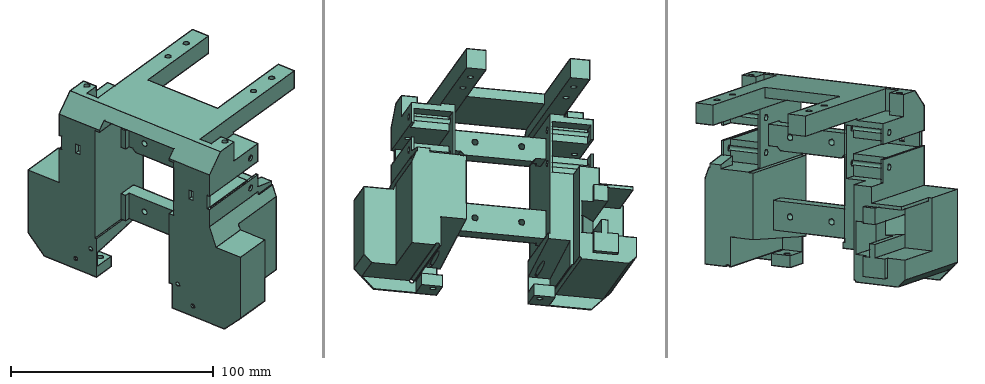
import cadquery as cq

width = 131.0
height = 96.0
arm_end_y = 90.0

column_outer_x = 19.1
column_inner_x = 41.3
foot_inner_x = 42.2
rail_inner_x = 44.0
column_back_y = 40.0
body_back_y = 51.2
body_top_z = 55.0
left_wing_top_z = 46.8
right_wing_top_z = 46.0
right_wing_back_y = 20.0
right_side_x = 114.8
right_slope_top_z = 56.6
right_slope_end_x = 116.0
right_step_z = 54.8
left_step_z = 22.7
right_step_low_z = 14.0
bottom_chamfer = 10.0
body_bottom_z = 6.0
front_plate = 1.0
left_block_inner_x = 29.2

pocket_front_y = 33.0
pocket_bottom_z = body_top_z
pocket_top_z = 81.9
skin = 1.2
notch_depth = 1.5
groove_floor_drop = 0.4
groove_low_z = 66.7
groove_high_z = 74.4
groove_front_y = 2.4
slot_x = 30.7
slot_width = 2.5
slot_low_z = 68.1
slot_high_z = 73.2

bridge_bottom_z = 90.8
arm_outer_x = 34.0
arm_bottom_z = 85.8
shelf_z = 84.9
shelf_front_y = 12.2
post_inner_x = 27.1
post_back_y = 20.2
top_chamfer = 9.0

bar_front_y = 24.4
bar_back_y = 31.7
bar_lug = 2.8
lower_bar_low_z = left_step_z
lower_bar_high_z = 37.6
upper_bar_low_z = 64.8
upper_bar_high_z = 75.7
tongue_drop = 1.8
tongue_x = 46.2

window_front_y = 25.0
window_low_z = 20.0
window_high_z = 45.0
window_depth = 15.5
window_lip = 1.8
hook_low_x = 10.0
hook_thin_x = 18.6
hook_inner_x = 22.4
hook_back_y = 53.8
gap_slant = 7.0
gap_low_z = 26.9
gap_high_z = 36.8

wedge_x = 105.6
wedge_front_z = 59.5
wedge_back_z = 57.0

hollow_outer_x = 31.0
ceiling_front_z = right_step_low_z
ceiling_back_z = 21.2
tab_outer_x = 31.5
tab_back_y = 12.3

hole_diameter = 3.0
pin_diameter = 2.2
arm_hole_x = 39.2
arm_hole_ys = (63.1, 78.1)
bar_hole_x = 53.6
bar_hole_zs = (30.3, 70.3)
side_hole_y = 33.9
side_hole_zs = (61.8, 79.4)
post_hole_x = 22.9
post_hole_y = 17.8
pin_centres = ((38.6, 15.3), (29.3, 6.0))
tab_hole_x = 38.3
tab_hole_y = 8.5


def box(x0, x1, y0, y1, z0, z1):
    """Block between two opposite corners."""
    return cq.Workplane("XY").box(x1 - x0, y1 - y0, z1 - z0, centered=False).translate((x0, y0, z0))


def prism_along_y(points, y0, y1):
    """Outline in x and z, extruded from y0 to y1."""
    return cq.Workplane("XZ", origin=(0, y0, 0)).polyline(points).close().extrude(y0 - y1)


def prism_along_x(points, x0, x1):
    """Outline in y and z, extruded from x0 to x1."""
    return cq.Workplane("YZ", origin=(x0, 0, 0)).polyline(points).close().extrude(x1 - x0)


def opposite(solid):
    """Mirror image on the other side of the mid-plane."""
    return solid.mirror("YZ", (width / 2, 0, 0))


def both_sides(solid):
    return solid.union(opposite(solid))


def hole_along_y(x, z, diameter):
    return cq.Workplane("XZ", origin=(x, 0, z)).circle(diameter / 2).extrude(-arm_end_y)


def hole_along_z(x, y, z0, z1):
    return cq.Workplane("XY", origin=(x, y, z0)).circle(hole_diameter / 2).extrude(z1 - z0)


def make_left_body():
    outline = [
        (0, bottom_chamfer), (bottom_chamfer, 0), (foot_inner_x, 0), (foot_inner_x, left_step_z),
        (column_inner_x, left_step_z), (column_inner_x, height), (column_outer_x, height),
        (column_outer_x, left_wing_top_z), (0, left_wing_top_z),
    ]
    body = prism_along_y(outline, 0, body_back_y)
    return body.cut(box(left_block_inner_x, foot_inner_x, column_back_y, body_back_y, 0, height))


def make_right_body():
    foot_x = width - foot_inner_x
    rail_x = width - rail_inner_x
    column_x = width - column_inner_x
    outer_x = width - column_outer_x
    outline = [
        (width, bottom_chamfer), (width - bottom_chamfer, 0), (foot_x, 0), (foot_x, right_step_low_z),
        (rail_x, right_step_low_z), (rail_x, right_step_z), (column_x, right_step_z), (column_x, height),
        (outer_x, height), (outer_x, right_slope_top_z), (right_slope_end_x, right_wing_top_z),
        (width, right_wing_top_z),
    ]
    body = prism_along_y(outline, 0, body_back_y)
    return body.cut(box(right_side_x, width, right_wing_back_y, body_back_y, 0, height))


def make_wedge():
    outline = [
        (column_back_y, body_top_z), (body_back_y, body_top_z),
        (body_back_y, wedge_back_z), (column_back_y, wedge_front_z),
    ]
    return prism_along_x(outline, wedge_x, width - column_outer_x)


def make_column_cuts():
    """Rear pocket, side groove and sight slot of the left column."""
    inner_x = column_inner_x - skin
    pocket = box(column_outer_x + skin, inner_x, pocket_front_y, column_back_y, pocket_bottom_z, pocket_top_z)
    groove = box(column_outer_x, inner_x, groove_front_y, column_back_y, groove_low_z, groove_high_z)
    floor_z = groove_low_z - groove_floor_drop
    sunk_floor = box(column_outer_x + skin, inner_x, groove_front_y, pocket_front_y, floor_z, groove_low_z)
    notch = box(column_outer_x, column_outer_x + notch_depth, 0, groove_front_y, groove_low_z, groove_high_z)
    slot = box(slot_x - slot_width / 2, slot_x + slot_width / 2, 0, body_back_y, slot_low_z, slot_high_z)
    return pocket.union(groove).union(sunk_floor).union(notch).union(slot)


def make_underside_cut():
    """Space behind the front plate, with a rising ceiling under the inner side."""
    below = box(0, foot_inner_x, front_plate, body_back_y, 0, body_bottom_z)
    ceiling = [
        (front_plate, 0), (body_back_y, 0), (body_back_y, ceiling_back_z), (front_plate, ceiling_front_z),
    ]
    return below.union(prism_along_x(ceiling, hollow_outer_x, rail_inner_x))


def make_window_cut():
    """Window in the left wing, with a deeper gap that opens into the rear cavity."""
    window = box(0, window_depth, window_front_y, body_back_y, window_low_z, window_high_z)
    lip = box(0, window_lip, window_front_y, body_back_y, window_high_z, left_wing_top_z)
    cavity_front_y = window_front_y + gap_slant
    cavity_x = left_block_inner_x - skin
    gap_outline = [
        (window_depth, window_front_y), (window_depth + gap_slant, cavity_front_y),
        (cavity_x, cavity_front_y), (cavity_x, body_back_y), (window_depth, body_back_y),
    ]
    gap = cq.Workplane("XY", origin=(0, 0, gap_low_z)).polyline(gap_outline).close()
    gap = gap.extrude(gap_high_z - gap_low_z)
    cavity = box(hook_thin_x, cavity_x, cavity_front_y, body_back_y, window_low_z, gap_low_z)
    return window.union(lip).union(gap).union(cavity)


def make_hooks():
    """Three hooks standing out behind the left wing."""
    base = box(hook_low_x, hook_inner_x, body_back_y, hook_back_y, bottom_chamfer, window_low_z)
    lower = box(window_depth, hook_thin_x, body_back_y, hook_back_y, window_low_z, gap_low_z)
    upper = box(window_depth, hook_inner_x, body_back_y, hook_back_y, gap_high_z, window_high_z)
    return base.union(lower).union(upper)


def make_bridge():
    plate = box(column_outer_x, width - column_outer_x, 0, column_back_y, bridge_bottom_z, height)
    arm = box(arm_outer_x, rail_inner_x, 0, arm_end_y, arm_bottom_z, height)
    return plate.union(both_sides(arm))


def make_shelf_cut():
    """Left shelf beside the arm, leaving a corner post at the front."""
    rear = box(column_outer_x, arm_outer_x, post_back_y, body_back_y, shelf_z, height)
    beside_post = box(post_inner_x, arm_outer_x, shelf_front_y, post_back_y, shelf_z, height)
    return rear.union(beside_post)


def make_bars():
    start_x = column_inner_x
    end_x = width - column_inner_x
    rail_x = width - rail_inner_x
    bars = box(start_x, rail_x, bar_front_y, bar_back_y, lower_bar_low_z, lower_bar_high_z)
    bars = bars.union(box(start_x, end_x, bar_front_y, bar_back_y, upper_bar_low_z, upper_bar_high_z))
    tongue = [
        (tongue_x, upper_bar_low_z), (tongue_x + tongue_drop, upper_bar_low_z - tongue_drop),
        (width - tongue_x - tongue_drop, upper_bar_low_z - tongue_drop), (width - tongue_x, upper_bar_low_z),
    ]
    bars = bars.union(prism_along_y(tongue, bar_front_y, bar_back_y))
    for low_z, high_z in ((lower_bar_low_z, lower_bar_high_z), (upper_bar_low_z, upper_bar_high_z)):
        bars = bars.union(box(start_x, rail_inner_x, bar_front_y - bar_lug, bar_front_y, low_z, high_z))
    gusset = [(rail_x, bar_front_y), (end_x, bar_front_y - bar_lug), (end_x, bar_front_y)]
    gusset = cq.Workplane("XY", origin=(0, 0, upper_bar_low_z)).polyline(gusset).close()
    return bars.union(gusset.extrude(upper_bar_high_z - upper_bar_low_z))


def make_top_chamfer_cut():
    outline = [(0, height), (top_chamfer, height), (0, height - top_chamfer)]
    return prism_along_x(outline, column_outer_x, width - column_outer_x)


def make_paired_holes():
    """Holes on the left side that repeat on the right."""
    holes = hole_along_z(post_hole_x, post_hole_y, groove_high_z, height)
    holes = holes.union(hole_along_z(tab_hole_x, tab_hole_y, 0, body_bottom_z))
    for y in arm_hole_ys:
        holes = holes.union(hole_along_z(arm_hole_x, y, arm_bottom_z, height))
    for z in bar_hole_zs:
        holes = holes.union(hole_along_y(bar_hole_x, z, hole_diameter))
    for x, z in pin_centres:
        holes = holes.union(hole_along_y(x, z, pin_diameter))
    return holes


def make_side_holes():
    centres = [(side_hole_y, z) for z in side_hole_zs]
    return cq.Workplane("YZ").pushPoints(centres).circle(hole_diameter / 2).extrude(width)


part = make_left_body().union(make_right_body())
part = part.cut(box(0, width, column_back_y, body_back_y, body_top_z, height))
part = part.cut(both_sides(make_column_cuts()))
part = part.cut(both_sides(make_underside_cut()))
part = part.cut(make_window_cut())

part = part.union(make_bridge()).union(make_bars()).union(make_wedge()).union(make_hooks())
tab = box(tab_outer_x, foot_inner_x, 0, tab_back_y, 0, body_bottom_z)
part = part.union(both_sides(tab))

part = part.cut(both_sides(make_shelf_cut()))
part = part.cut(make_top_chamfer_cut())
part = part.cut(both_sides(make_paired_holes()))
result = part.cut(make_side_holes())